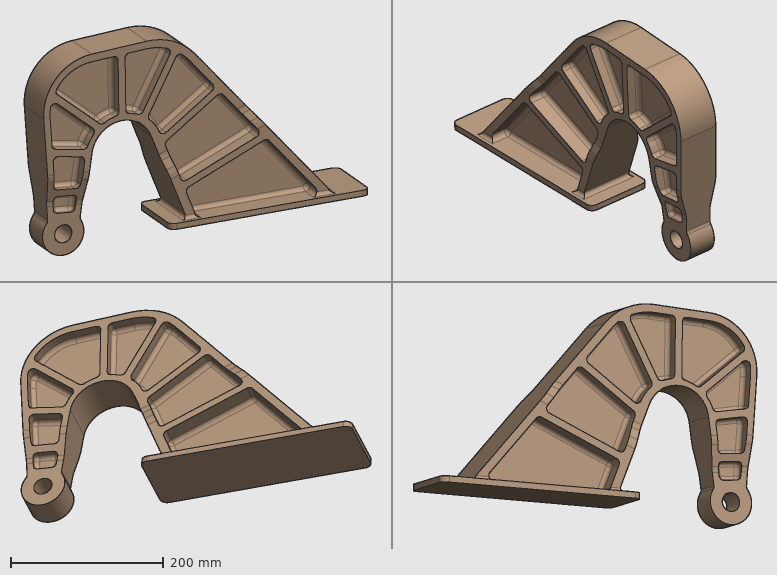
import cadquery as cq
import math


ROLL = 2.3
PITCH = 0.25

BASE_WIDTH = 96.0
BASE_FRONT = 142.5
BASE_LENGTH = 290.3
BASE_TOP = -2.5
BASE_THICKNESS = 8.5
BASE_CORNER = 9.5
FOOT_FILLET = 5.0

LEG_HALF = 37.5
CROWN_HALF = 29.5
EYE_HALF = 20.0
WEB_HALF = 10.5

LEG_BACK = ((377.7, 4.5), 130.7)
CROWN = ((90.0, 250.0), 3.2)
ARM_FRONT = ((-31.0, 177.5), 93.2)
ARM_END = ((0.0, 14.0), -5.0)
ARM_BACK = ((39.0, 109.0), 81.2)
LEG_FRONT = ((126.5, 115.3), 111.0)
FOOT = ((0.0, BASE_TOP), 0.0)
CROWN_BACK_RADIUS = 87.0
CROWN_FRONT_RADIUS = 75.0
ARCH_RADIUS = 45.0

EYE_RADIUS = 30.0
BORE_RADIUS = 12.5
NECK_FILLET = 7.0

LEG_RAMP = ((148.0, 63.5), 111.0, 25.0)
ARM_RAMP = ((4.0, 81.0), -95.0, 38.0)
RAMP_CONVEX_RADIUS = 46.5
RAMP_CONCAVE_RADIUS = 30.0

LEG_BACK_RIM = 11.5
CROWN_RIM = 10.5
ARM_FRONT_RIM = 9.3
ARM_BACK_RIM = 9.3
LEG_FRONT_RIM = 13.0
ARCH_RIM = 12.0
ARM_END_RIM = 15.5
POCKET_CORNER = 6.5
POCKET_FLOOR_FILLET = 6.0

RIB_WIDTH = 10.0
RIB_LENGTH = 203.5
RIBS = [
    ((224.0, 67.5), 22.8),
    ((179.0, 135.5), 34.5),
    ((139.5, 190.3), 61.2),
    ((84.0, 199.0), 90.0),
    ((15.0, 171.7), 140.0),
    ((4.0, 115.3), 170.0),
    ((3.2, 58.5), 174.5),
]

REACH = 370.5
OUTSIDE = BASE_WIDTH


def meet(first, second):
    """Point where two lines, each a point and a direction, cross."""
    (y1, z1), angle1 = first
    (y2, z2), angle2 = second
    c1, s1 = math.cos(math.radians(angle1)), math.sin(math.radians(angle1))
    c2, s2 = math.cos(math.radians(angle2)), math.sin(math.radians(angle2))
    along = ((y2 - y1) * s2 - (z2 - z1) * c2) / (c1 * s2 - s1 * c2)
    return (y1 + along * c1, z1 + along * s1)


def shifted(line, distance):
    """The line moved to the left of its direction."""
    (y, z), angle = line
    turn = math.radians(angle + 90)
    return ((y + distance * math.cos(turn), z + distance * math.sin(turn)), angle)


def rounded_outline(plane, corners):
    """Closed outline through (point, radius) corners; a radius of 0 leaves the corner sharp."""
    stations = []
    for i, (point, radius) in enumerate(corners):
        corner = cq.Vector(*point)
        to_last = (cq.Vector(*corners[i - 1][0]) - corner).normalized()
        to_next = (cq.Vector(*corners[(i + 1) % len(corners)][0]) - corner).normalized()
        half = to_last.getAngle(to_next) / 2
        bisector = (to_last + to_next).normalized()
        setback = radius / math.tan(half)
        middle = corner + bisector * (radius / math.sin(half) - radius)
        stations.append((corner + to_last * setback, middle, corner + to_next * setback, radius))
    last_end = stations[-1][2]
    sketch = cq.Workplane(plane).moveTo(last_end.x, last_end.y)
    for start, middle, end, radius in stations:
        sketch = sketch.lineTo(start.x, start.y)
        if radius:
            sketch = sketch.threePointArc((middle.x, middle.y), (end.x, end.y))
    return sketch.close()


def hook_outline(
    leg_back_rim=0,
    crown_rim=0,
    arm_front_rim=0,
    arm_end_rim=0,
    arm_back_rim=0,
    leg_front_rim=0,
    arch_rim=0,
):
    """Outline of the hook, each side moved inwards by its rim."""
    leg_back = shifted(LEG_BACK, leg_back_rim)
    crown = shifted(CROWN, -crown_rim)
    arm_front = shifted(ARM_FRONT, -arm_front_rim)
    arm_end = shifted(ARM_END, arm_end_rim)
    arm_back = shifted(ARM_BACK, arm_back_rim)
    leg_front = shifted(LEG_FRONT, -leg_front_rim)
    return rounded_outline("YZ", [
        (meet(FOOT, leg_back), 0),
        (meet(leg_back, crown), CROWN_BACK_RADIUS - crown_rim),
        (meet(crown, arm_front), CROWN_FRONT_RADIUS - crown_rim),
        (meet(arm_front, arm_end), 0),
        (meet(arm_end, arm_back), 0),
        (meet(arm_back, leg_front), ARCH_RADIUS + arch_rim),
        (meet(leg_front, FOOT), 0),
    ])


def ramp_cutter(ramp, thick_half, thin_half, half_span):
    """Material on the +X side to remove where the hook thins along a ramp."""
    (y, z), angle, length = ramp
    run = (0, math.cos(math.radians(angle)), math.sin(math.radians(angle)))
    across = cq.Vector(*run).cross(cq.Vector(1, 0, 0))
    plane = cq.Plane(origin=(0, y, z), xDir=run, normal=across)
    corners = [
        ((-length, thick_half), 0),
        ((0, thick_half), RAMP_CONVEX_RADIUS),
        ((length, thin_half), RAMP_CONCAVE_RADIUS),
        ((REACH, thin_half), 0),
        ((REACH, OUTSIDE), 0),
        ((-length, OUTSIDE), 0),
    ]
    return rounded_outline(plane, corners).extrude(half_span, both=True)


def cut_both_sides(body, cutter):
    return body.cut(cutter).cut(cutter.mirror("YZ"))


def make_hook():
    hook = hook_outline().extrude(LEG_HALF, both=True)
    eye = cq.Workplane("YZ").circle(EYE_RADIUS).extrude(LEG_HALF, both=True)
    hook = hook.union(eye)
    neck = cq.selectors.BoxSelector((-LEG_HALF, -EYE_RADIUS, 0), (LEG_HALF, EYE_RADIUS, EYE_RADIUS))
    hook = hook.edges("|X").edges(neck).fillet(NECK_FILLET)
    hook = cut_both_sides(hook, ramp_cutter(LEG_RAMP, LEG_HALF, CROWN_HALF, REACH))
    return cut_both_sides(hook, ramp_cutter(ARM_RAMP, CROWN_HALF, EYE_HALF, 2 * EYE_RADIUS))


def make_base():
    base = cq.Workplane("XY", origin=(0, BASE_FRONT + BASE_LENGTH / 2, BASE_TOP))
    return base.rect(BASE_WIDTH, BASE_LENGTH).extrude(-BASE_THICKNESS).edges("|Z").fillet(BASE_CORNER)


def add_foot_fillet(body):
    """Fillet the four edges where the leg stands on the base."""
    base_back = BASE_FRONT + BASE_LENGTH
    foot_edges = cq.selectors.BoxSelector(
        (-LEG_HALF - FOOT_FILLET, BASE_FRONT + FOOT_FILLET, BASE_TOP - FOOT_FILLET),
        (LEG_HALF + FOOT_FILLET, base_back - FOOT_FILLET, BASE_TOP + FOOT_FILLET),
    )
    return body.edges(foot_edges).fillet(FOOT_FILLET)


def make_pockets():
    """Pockets on the +X side: the band inside the rims, parted by the ribs."""
    band = hook_outline(
        LEG_BACK_RIM,
        CROWN_RIM,
        ARM_FRONT_RIM,
        ARM_END_RIM,
        ARM_BACK_RIM,
        LEG_FRONT_RIM,
        ARCH_RIM,
    )
    pockets = band.extrude(OUTSIDE)
    for (y, z), angle in RIBS:
        rib = cq.Workplane("XY").box(2 * OUTSIDE, RIB_LENGTH, RIB_WIDTH)
        rib = rib.rotate((0, 0, 0), (1, 0, 0), angle).translate((0, y, z))
        pockets = pockets.cut(rib)
    rounded = cq.Workplane("YZ")
    for floor in pockets.faces("<X").vals():
        outline = floor.outerWire().offset2D(-POCKET_CORNER)[0].offset2D(POCKET_CORNER)[0]
        pocket = cq.Workplane("YZ").add(outline).toPending().extrude(OUTSIDE).translate((WEB_HALF, 0, 0))
        rounded = rounded.add(pocket.faces("<X").edges().fillet(POCKET_FLOOR_FILLET))
    return rounded.combine()


def make_bore():
    return cq.Workplane("YZ").circle(BORE_RADIUS).extrude(LEG_HALF, both=True)


bracket = add_foot_fillet(make_hook().union(make_base()))
bracket = cut_both_sides(bracket, make_pockets())
bracket = bracket.cut(make_bore())
result = bracket.rotate((0, 0, 0), (0, 1, 0), -ROLL).rotate((0, 0, 0), (1, 0, 0), -PITCH)